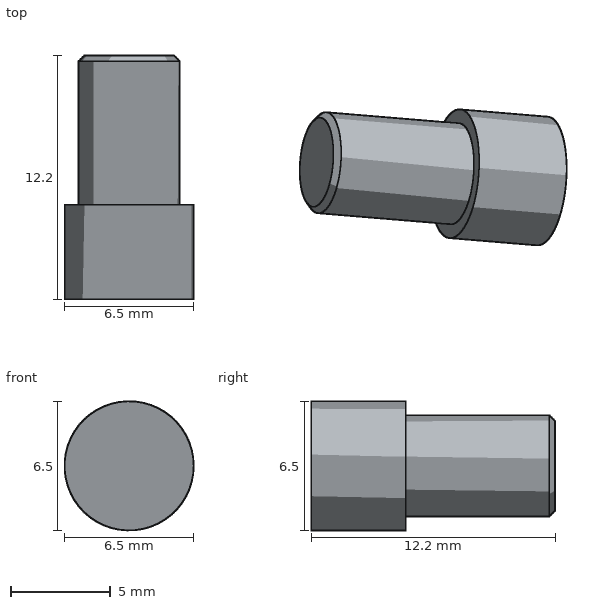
import cadquery as cq

head_diameter = 6.5
shank_diameter = 5.1
total_length = 12.25
head_length = 4.75
tip_chamfer = 0.3

shank_length = total_length - head_length


def cylinder_along_y(diameter, start_y, length):
    """Solid cylinder on the Y axis, running from start_y toward +Y."""
    base = cq.Workplane("XZ", origin=(0, start_y, 0))
    return base.circle(diameter / 2).extrude(-length)


def make_head():
    """Plain cylindrical head, with its outer face at Y = 0."""
    return cylinder_along_y(head_diameter, 0, head_length)


def make_shank():
    """Narrower shank behind the head, chamfered at its free end."""
    shank = cylinder_along_y(shank_diameter, head_length, shank_length)
    return shank.faces(">Y").chamfer(tip_chamfer)


result = make_head().union(make_shank())